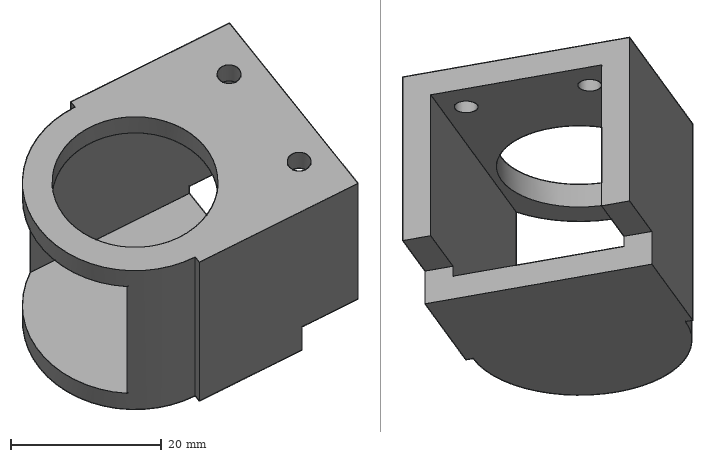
import cadquery as cq

length = 40.0
width = 32.1
height = 30.0
nose_radius = 15.0
back_y = length - nose_radius

tunnel_width = 24.15
plate_thickness = 3.5
tunnel_height = height - 2 * plate_thickness

opening_diameter = 22.1

hole_diameter = 3.15
hole_spacing = 17.5
hole_back_offset = 4.7

step_depth = 8.8
step_height = 5.0


def make_body():
    block = cq.Workplane("XY").box(width, back_y, height, centered=(True, False, False))
    nose = cq.Workplane("XY").circle(nose_radius).extrude(height)
    return block.union(nose)


def make_tunnel():
    return (
        cq.Workplane("XY")
        .box(tunnel_width, length, tunnel_height, centered=(True, False, False))
        .translate((0, -nose_radius, plate_thickness))
    )


def make_step():
    return (
        cq.Workplane("XY")
        .box(width, step_depth, step_height, centered=(True, False, False))
        .translate((0, back_y - step_depth, 0))
    )


def make_top_plate_holes():
    top_plate = cq.Workplane("XY", origin=(0, 0, height - plate_thickness))
    opening = top_plate.circle(opening_diameter / 2).extrude(plate_thickness)
    hole_y = back_y - hole_back_offset
    mounting_holes = (
        top_plate.pushPoints([(side * hole_spacing / 2, hole_y) for side in (-1, 1)])
        .circle(hole_diameter / 2)
        .extrude(plate_thickness)
    )
    return opening.union(mounting_holes)


result = make_body().cut(make_tunnel()).cut(make_step()).cut(make_top_plate_holes())